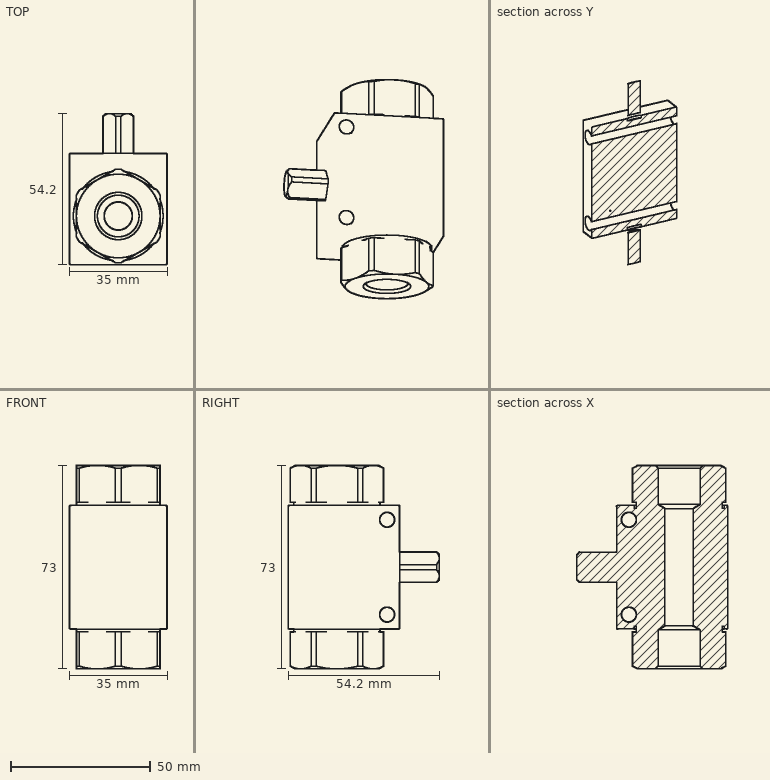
import cadquery as cq
import math

BODY_WIDTH = 35.0
BODY_DEPTH = 40.0
BODY_HEIGHT = 44.4
EDGE_RADIUS = 0.5
AXIS_TO_FRONT = 17.5
BACK_Y = BODY_DEPTH - AXIS_TO_FRONT

OVERALL_HEIGHT = 73.0
HEX_SIDES = 6
HEX_FLATS = 30.0
HEX_CORNER_DIAMETER = 33.5
HEX_CHAMFER_ANGLE = 30.0
NECK_DIAMETER = 31.0
NECK_LENGTH = 1.0
RECESS_DIAMETER = 32.2
RECESS_DEPTH = 1.0

BORE_DIAMETER = 10.0
PORT_DIAMETER = 14.95
PORT_DEPTH = 14.0
PORT_MOUTH_DIAMETER = 17.0
PORT_POINT_ANGLE = 118.0

STEM_LENGTH = 14.25
STEM_FLATS = 9.0
STEM_CORNER_DIAMETER = 11.0
STEM_CHAMFER = 1.0

MOUNT_DIAMETER = 5.25
MOUNT_SPACING = 34.0
MOUNT_TO_BACK = 4.5

BODY_TOP = BODY_HEIGHT / 2
PORT_FACE = OVERALL_HEIGHT / 2


def revolve_about_z(points):
    """Solid of revolution about Z from (radius, z) points."""
    return cq.Workplane("XZ").polyline(points).close().revolve(360, (0, 0), (0, 1))


def make_body():
    block = cq.Workplane("XY").box(BODY_WIDTH, BODY_DEPTH, BODY_HEIGHT)
    block = block.edges().fillet(EDGE_RADIUS)
    return block.translate((0, BACK_Y - BODY_DEPTH / 2, 0))


def make_recess():
    """Round recess in the top face around the neck of the fitting."""
    floor = cq.Workplane("XY").workplane(offset=BODY_TOP - RECESS_DEPTH)
    return floor.circle(RECESS_DIAMETER / 2).extrude(RECESS_DEPTH)


def make_fitting():
    """Upper fitting: a hexagon with turned corners, neck and chamfered end."""
    bottom = BODY_TOP - RECESS_DEPTH
    neck_top = BODY_TOP + NECK_LENGTH
    neck_radius = NECK_DIAMETER / 2
    corner_radius = HEX_CORNER_DIAMETER / 2
    face_radius = HEX_FLATS / 2
    chamfer_drop = (corner_radius - face_radius) * math.tan(math.radians(HEX_CHAMFER_ANGLE))
    hexagon = (
        cq.Workplane("XY")
        .workplane(offset=bottom)
        .polygon(HEX_SIDES, HEX_FLATS, circumscribed=True)
        .extrude(PORT_FACE - bottom)
    )
    turned = revolve_about_z([
        (0, bottom),
        (neck_radius, bottom),
        (neck_radius, neck_top),
        (corner_radius, neck_top),
        (corner_radius, PORT_FACE - chamfer_drop),
        (face_radius, PORT_FACE),
        (0, PORT_FACE),
    ])
    return hexagon.intersect(turned)


def make_bore():
    """Upper half of the bore: 45 degree mouth, port and cone down to the bore."""
    bore_radius = BORE_DIAMETER / 2
    port_radius = PORT_DIAMETER / 2
    mouth_radius = PORT_MOUTH_DIAMETER / 2
    port_floor = PORT_FACE - PORT_DEPTH
    cone_depth = (port_radius - bore_radius) / math.tan(math.radians(PORT_POINT_ANGLE / 2))
    return revolve_about_z([
        (0, 0),
        (bore_radius, 0),
        (bore_radius, port_floor - cone_depth),
        (port_radius, port_floor),
        (port_radius, PORT_FACE - (mouth_radius - port_radius)),
        (mouth_radius, PORT_FACE),
        (0, PORT_FACE),
    ])


def make_stem():
    """Stem modelled along Z, then turned to point along +Y from the block."""
    square = (
        cq.Workplane("XY")
        .rect(STEM_FLATS, STEM_FLATS)
        .extrude(STEM_LENGTH)
        .rotate((0, 0, 0), (0, 0, 1), 45)
    )
    turned = (
        cq.Workplane("XY")
        .circle(STEM_CORNER_DIAMETER / 2)
        .extrude(STEM_LENGTH)
        .faces(">Z")
        .chamfer(STEM_CHAMFER)
    )
    stem = square.intersect(turned).rotate((0, 0, 0), (1, 0, 0), -90)
    return stem.translate((0, BACK_Y, 0))


def make_mounting_holes():
    hole_y = BACK_Y - MOUNT_TO_BACK
    return (
        cq.Workplane("YZ")
        .pushPoints([(hole_y, -MOUNT_SPACING / 2), (hole_y, MOUNT_SPACING / 2)])
        .circle(MOUNT_DIAMETER / 2)
        .extrude(BODY_WIDTH / 2, both=True)
    )


def on_both_ends(part, upper, operation):
    """Apply a cut or union at the +Z end and, mirrored, at the -Z end."""
    for feature in (upper, upper.mirror("XY")):
        part = operation(part, feature)
    return part


body = on_both_ends(make_body(), make_recess(), cq.Workplane.cut)
body = on_both_ends(body, make_fitting(), cq.Workplane.union)
body = on_both_ends(body, make_bore(), cq.Workplane.cut)
result = body.union(make_stem()).cut(make_mounting_holes())